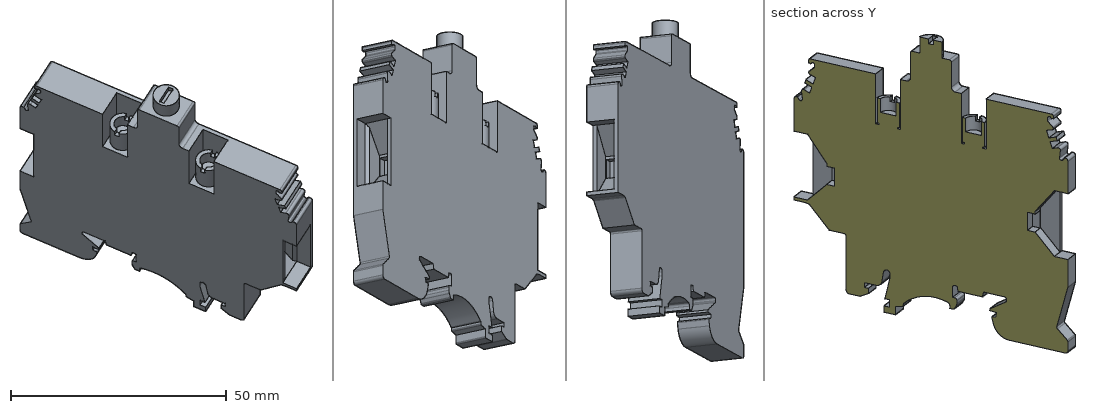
import cadquery as cq
import math

LENGTH = 72.5
THICKNESS = 8.0
TOTAL_HEIGHT = 72.5
HALF_LENGTH = LENGTH / 2
FRONT_Y = -THICKNESS / 2

SHOULDER_Z = 60.5
TOWER_TOP_Z = 68.4
TOWER_HALF_WIDTH = 5.45
TOWER_TOP_RADIUS = 0.5
TOWER_BASE_RADIUS = 1.0

STEP_Z = 50.05
RAIL_SEAT_Z = 9.65
RAIL_RELIEF_Z = 10.95
LEFT_FOOT_Z = 0.15
RIGHT_FOOT_Z = 2.65
RIGHT_FOOT_X = 22.55
RIGHT_STEP_Z = 17.75
RIGHT_END_Z = 23.4

BUTTON_DIAMETER = 6.1
BUTTON_SLOT_LENGTH = 4.6
BUTTON_SLOT_WIDTH = 1.2
BUTTON_SLOT_DEPTH = 1.2

RAMP_TOP = (-30.6, 55.95)
RAMP_TILT = math.radians(20)
RAMP_LENGTH = 4.45
RIB_START = 1.8
RIB_WIDTH = 1.05
RIB_REACH = 2.0

WELL_X = 11.32
WELL_WIDTH = 6.5
WELL_FLOOR_Z = 47.75
WELL_BACK_Y = 3.0

SCREW_X = 11.25
SCREW_DIAMETER = 6.0
SCREW_Y = -0.3
SCREW_TOP_Z = 54.45
SCREW_BORE_DIAMETER = 4.0
SCREW_BORE_DEPTH = 3.5
SCREW_SLOT_WIDTH = 1.1
SCREW_SLOT_DEPTH = 1.2
SCREW_NECK_DIAMETER = 5.0
SCREW_NECK_HEIGHT = 0.25

ENTRY_BOTTOM_Z = 24.3
ENTRY_TOP_Z = 41.0
ENTRY_DEPTH = 3.6
ENTRY_BACK_Y = 3.0
FUNNEL_DEPTH = 5.1
FUNNEL_FRONT_Y = -3.0
FUNNEL_BACK_Y = 2.3
FUNNEL_END_BOTTOM_Z = 29.4
FUNNEL_END_TOP_Z = 34.6
FUNNEL_BACK_BEVEL = ENTRY_BACK_Y - FUNNEL_BACK_Y
WIRE_HOLE_FRONT_Y = -2.8
WIRE_HOLE_BACK_Y = 2.1
WIRE_HOLE_HEIGHT = 4.5
WIRE_HOLE_DEPTH = 2.0




def ramp_point(along, outward):
    """Sharp corner on the left ramp: a distance down its wall and a distance out from it."""
    x = RAMP_TOP[0] - along * math.sin(RAMP_TILT) - outward * math.cos(RAMP_TILT)
    z = RAMP_TOP[1] - along * math.cos(RAMP_TILT) + outward * math.sin(RAMP_TILT)
    return (x, z, 0)


def left_marker_corners():
    """Upper left edge, from the shoulder down to the end face."""
    rib_end = RIB_START + RIB_WIDTH
    return [
        (-32.4, SHOULDER_Z, 0.5),
        (-32.4, 59.35, 0),
        (-31.8, 59.2, 0),
        (-31.45, 59.65, 0.15),
        (-30.85, 59.55, 0.4),
        (-30.85, 58.5, 0.3),
        (-32.55, 56.95, 0.35),
        (-32.1, 56.4, 0.2),
        ramp_point(0, 0),
        ramp_point(RIB_START, 0),
        ramp_point(RIB_START, RIB_REACH),
        ramp_point(rib_end, RIB_REACH),
        ramp_point(rib_end, 0),
        ramp_point(RAMP_LENGTH, 0),
        (-34.4, 52.6, 0.6),
        (-34.0, 49.3, 0.4),
        (-34.75, 49.25, 0.35),
        (-35.25, STEP_Z, 0),
        (-HALF_LENGTH, STEP_Z, 0.7),
    ]


def tower_corners():
    """Raised block in the middle of the top edge, from right to left."""
    return [
        (TOWER_HALF_WIDTH, SHOULDER_Z, TOWER_BASE_RADIUS),
        (TOWER_HALF_WIDTH, TOWER_TOP_Z, TOWER_TOP_RADIUS),
        (-TOWER_HALF_WIDTH, TOWER_TOP_Z, TOWER_TOP_RADIUS),
        (-TOWER_HALF_WIDTH, SHOULDER_Z, TOWER_BASE_RADIUS),
    ]


def left_foot_corners():
    """Fixed foot that hooks over the mounting rail, ending at the rail seat."""
    return [
        (-HALF_LENGTH, 17.2, 0),
        (-33.25, 6.2, 0.5),
        (-HALF_LENGTH, 3.5, 0.5),
        (-HALF_LENGTH, LEFT_FOOT_Z, 0.8),
        (-17.3, LEFT_FOOT_Z, 4.5),
        (-15.95, 5.3, 0.3),
        (-17.1, 5.4, 0),
        (-17.25, 6.45, 0),
        (-15.5, 6.6, 0),
        (-15.55, 7.15, 0),
        (-19.95, 9.95, 0.3),
        (-19.95, RAIL_RELIEF_Z, 0.6),
        (-13.95, RAIL_RELIEF_Z, 0),
        (-13.6, RAIL_SEAT_Z, 0),
    ]


def rail_latch_corners():
    """Underside from the rail seat through the sprung latch to the right-hand foot."""
    return [
        (-7.1, RAIL_SEAT_Z, 0),
        (-6.85, RAIL_RELIEF_Z, 0.3),
        (-5.8, RAIL_RELIEF_Z, 0.3),
        (-5.8, 7.95, 0),
        (-6.9, 7.9, 0.6),
        (-6.9, 6.2, 1.5),
        (-6.1, 4.8, 0.5),
        (-4.9, 4.8, 0),
        (-4.9, 6.14, 0.7),
        (2.4, 7.95, 11.8),
        (7.25, 3.35, 0),
        (7.3, 2.6, 0.3),
        (9.25, 2.2, 0),
        (9.25, 0, 0.3),
        (12.45, 0, 0),
        (12.45, 1.7, 0),
        (11.0, 1.75, 0),
        (11.0, 3.5, 0),
        (12.25, 3.5, 0),
        (10.9, 9.2, 0),
        (10.9, RAIL_RELIEF_Z, 0.75),
        (12.4, RAIL_RELIEF_Z, 0.75),
        (13.15, 6.4, 1.6),
        (17.55, 6.4, 0),
        (17.55, 5.3, 0),
        (16.5, 5.3, 0),
        (16.5, 3.9, 0),
        (18.75, RIGHT_FOOT_Z, 0.3),
        (RIGHT_FOOT_X, RIGHT_FOOT_Z, 1.0),
    ]


def right_end_corners():
    """Right-hand side from the foot up to the end face."""
    return [
        (RIGHT_FOOT_X, RIGHT_STEP_Z, 0.4),
        (26.9, RIGHT_STEP_Z, 0),
        (32.2, 23.2, 0.4),
        (33.2, RIGHT_END_Z, 0),
        (HALF_LENGTH, RIGHT_END_Z, 0),
    ]


def toward(start, end, distance):
    """Point at a distance from start on the line to end."""
    span = math.dist(start[:2], end[:2])
    return tuple(a + (b - a) * distance / span for a, b in zip(start[:2], end[:2]))


def rounded_outline(corners):
    """Closed XZ outline in which each corner (x, z, radius) is rounded by a tangent arc."""
    outline = None
    count = len(corners)
    for index, corner in enumerate(corners):
        before = corners[index - 1]
        after = corners[(index + 1) % count]
        radius = corner[2]
        heading_back = math.atan2(before[1] - corner[1], before[0] - corner[0])
        heading_on = math.atan2(after[1] - corner[1], after[0] - corner[0])
        half_angle = abs(math.remainder(heading_on - heading_back, math.tau)) / 2
        setback = radius / math.tan(half_angle)
        start = toward(corner, before, setback)
        end = toward(corner, after, setback)
        outline = outline.lineTo(*start) if outline else cq.Workplane("XZ").moveTo(*start)
        if radius:
            chord_middle = ((start[0] + end[0]) / 2, (start[1] + end[1]) / 2)
            middle = toward(corner, chord_middle, radius / math.sin(half_angle) - radius)
            outline = outline.threePointArc(middle, end)
    return outline.close()


def box(x_range, y_range, z_range):
    """Axis-aligned box between pairs of limits."""
    (x0, x1), (y0, y1), (z0, z1) = x_range, y_range, z_range
    return cq.Workplane("XY").box(x1 - x0, y1 - y0, z1 - z0, centered=False).translate((x0, y0, z0))


def housing():
    """Plate of constant thickness with the full side outline."""
    left_marker = left_marker_corners()
    right_marker = [(-x, z, radius) for x, z, radius in reversed(left_marker)]
    corners = (
        left_marker
        + left_foot_corners()
        + rail_latch_corners()
        + right_end_corners()
        + right_marker
        + tower_corners()
    )
    return rounded_outline(corners).extrude(THICKNESS / 2, both=True)


def screw_well(x):
    """Cutter for one well, open to the front and the top."""
    return box(
        (x - WELL_WIDTH / 2, x + WELL_WIDTH / 2),
        (FRONT_Y, WELL_BACK_Y),
        (WELL_FLOOR_Z, SHOULDER_Z),
    )


def screw(x):
    """Hollow-headed screw on a short neck, slotted across its rim in Y."""
    head_z = WELL_FLOOR_Z + SCREW_NECK_HEIGHT
    neck = cq.Workplane("XY").circle(SCREW_NECK_DIAMETER / 2).extrude(SCREW_NECK_HEIGHT)
    body = (
        neck.faces(">Z")
        .workplane()
        .circle(SCREW_DIAMETER / 2)
        .extrude(SCREW_TOP_Z - head_z)
        .faces(">Z")
        .workplane()
        .hole(SCREW_BORE_DIAMETER, SCREW_BORE_DEPTH)
    )
    slot = (
        body.faces(">Z")
        .workplane()
        .rect(SCREW_SLOT_WIDTH, SCREW_DIAMETER)
        .extrude(-SCREW_SLOT_DEPTH, combine=False)
    )
    return body.cut(slot).translate((x, SCREW_Y, WELL_FLOOR_Z))


def left_wire_entry():
    """Cutter for the left wire entry: end recess, narrowing funnel and square hole."""
    recess_x = -HALF_LENGTH + ENTRY_DEPTH
    funnel_end_x = recess_x + FUNNEL_DEPTH
    recess = box((-HALF_LENGTH, recess_x), (FRONT_Y, ENTRY_BACK_Y), (ENTRY_BOTTOM_Z, ENTRY_TOP_Z))
    side_shape = (
        cq.Workplane("XZ", origin=(0, ENTRY_BACK_Y, 0))
        .moveTo(recess_x, ENTRY_BOTTOM_Z)
        .lineTo(recess_x, ENTRY_TOP_Z)
        .lineTo(funnel_end_x, FUNNEL_END_TOP_Z)
        .lineTo(funnel_end_x, FUNNEL_END_BOTTOM_Z)
        .close()
        .extrude(ENTRY_BACK_Y - FUNNEL_FRONT_Y)
    )
    plan_shape = (
        cq.Workplane("XY", origin=(0, 0, ENTRY_BOTTOM_Z))
        .moveTo(recess_x, FUNNEL_FRONT_Y)
        .lineTo(funnel_end_x, FUNNEL_FRONT_Y)
        .lineTo(funnel_end_x, FUNNEL_BACK_Y)
        .lineTo(recess_x + FUNNEL_BACK_BEVEL, FUNNEL_BACK_Y)
        .lineTo(recess_x, ENTRY_BACK_Y)
        .close()
        .extrude(ENTRY_TOP_Z - ENTRY_BOTTOM_Z)
    )
    funnel = side_shape.intersect(plan_shape)
    wire_hole = box(
        (funnel_end_x, funnel_end_x + WIRE_HOLE_DEPTH),
        (WIRE_HOLE_FRONT_Y, WIRE_HOLE_BACK_Y),
        (FUNNEL_END_BOTTOM_Z, FUNNEL_END_BOTTOM_Z + WIRE_HOLE_HEIGHT),
    )
    return recess.union(funnel).union(wire_hole)


def test_button():
    """Round button with a blind screwdriver slot running in Y."""
    button = (
        cq.Workplane("XY", origin=(0, 0, TOWER_TOP_Z))
        .circle(BUTTON_DIAMETER / 2)
        .extrude(TOTAL_HEIGHT - TOWER_TOP_Z)
    )
    slot = (
        cq.Workplane("XY", origin=(0, 0, TOTAL_HEIGHT))
        .rect(BUTTON_SLOT_WIDTH, BUTTON_SLOT_LENGTH)
        .extrude(-BUTTON_SLOT_DEPTH)
    )
    return button.cut(slot)


wire_entry = left_wire_entry()
result = housing().cut(wire_entry).cut(wire_entry.mirror("YZ"))
for side in (-1, 1):
    result = result.cut(screw_well(side * WELL_X)).union(screw(side * SCREW_X))
result = result.union(test_button())